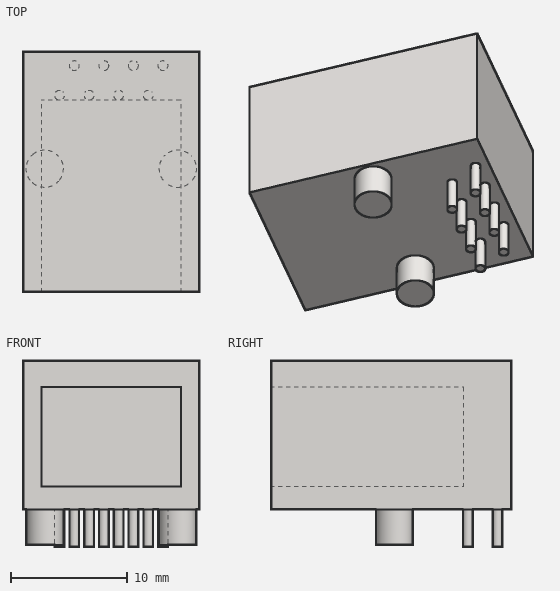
import cadquery as cq

width = 15.15
length = 20.65
total_height = 16.0
pin_length = 3.22
housing_height = total_height - pin_length

opening_width = 11.97
opening_height = 8.55
opening_floor = 1.98
opening_depth = 16.51

pin_diameter = 0.85
pin_count = 8
back_row_inset = 1.2
row_spacing = 2.54
pin_pitch = row_spacing / 2
back_row_y = length / 2 - back_row_inset
front_row_y = back_row_y - row_spacing

peg_diameter = 3.2
peg_length = 3.03
peg_offset_x = 5.72
peg_setback = 6.32
peg_y = front_row_y - peg_setback


def posts(points, diameter, post_length):
    """Round posts hanging from the underside of the housing."""
    return cq.Workplane("XY").pushPoints(points).circle(diameter / 2).extrude(-post_length)


housing = cq.Workplane("XY").box(width, length, housing_height, centered=(True, True, False))
opening = (
    cq.Workplane("XY")
    .box(opening_width, opening_depth, opening_height, centered=(True, False, False))
    .translate((0, -length / 2, opening_floor))
)

pin_points = []
for index in range(pin_count):
    pin_x = (index - (pin_count - 1) / 2) * pin_pitch
    pin_y = front_row_y if index % 2 == 0 else back_row_y
    pin_points.append((pin_x, pin_y))

peg_points = [(-peg_offset_x, peg_y), (peg_offset_x, peg_y)]

result = (
    housing.cut(opening)
    .union(posts(pin_points, pin_diameter, pin_length))
    .union(posts(peg_points, peg_diameter, peg_length))
)